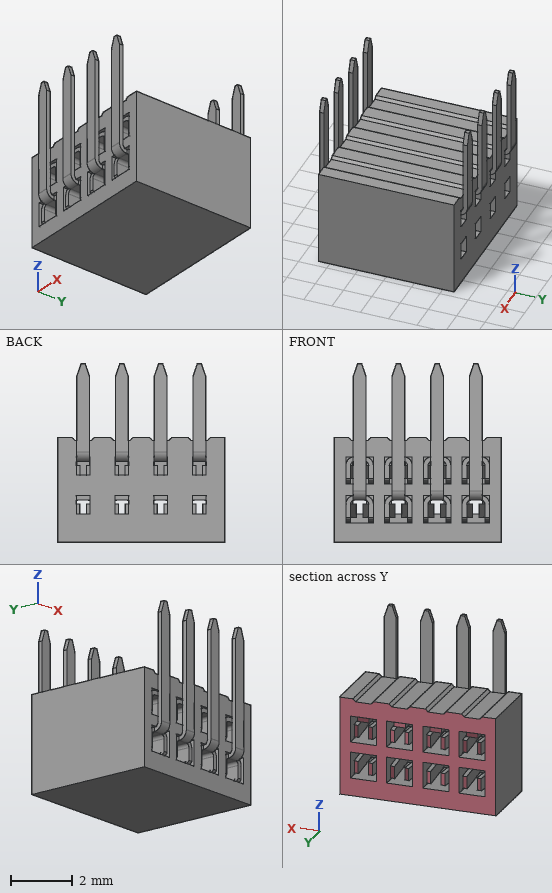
import cadquery as cq
import math

HOUSING_WIDTH = 5.48
HOUSING_DEPTH = 4.795
HOUSING_HEIGHT = 3.435
FRONT_Y = -HOUSING_DEPTH / 2
BACK_Y = HOUSING_DEPTH / 2

COLUMNS = 4
PITCH = 1.27
CAVITY_SIZE = 0.895
BACK_WALL = 0.29
COLUMN_X = [(column - (COLUMNS - 1) / 2) * PITCH for column in range(COLUMNS)]
LOWER_TOP_Z = (HOUSING_HEIGHT - PITCH + CAVITY_SIZE) / 2
UPPER_TOP_Z = LOWER_TOP_Z + PITCH

OPENING_WIDTH = 0.445
OPENING_HEIGHT = 0.595

GROOVE_TOP_WIDTH = 0.725
GROOVE_BOTTOM_WIDTH = 0.54
GROOVE_DEPTH = 0.095

THICKNESS = 0.15
TAIL_WIDTH = 0.42
TIP_WIDTH = 0.14
TIP_LENGTH = 0.41
TAIL_TOP_Z = 5.85
TAIL_REACH = 0.215
TAIL_BEND_RADIUS = 0.31
BEND_SETBACK = TAIL_BEND_RADIUS - TAIL_REACH

CHANNEL_LENGTH = 0.82
CHANNEL_BEND_RADIUS = 0.275
INNER_BEND_RADIUS = CHANNEL_BEND_RADIUS - THICKNESS
CHANNEL_START_Y = FRONT_Y + BEND_SETBACK
CHANNEL_END_Y = CHANNEL_START_Y + CHANNEL_LENGTH
ARM_BOTTOM = 0.715

FIRST_BARB_LENGTH = 0.15
FIRST_BARB_DROP = 0.08
SECOND_BARB_LENGTH = 0.305
SECOND_BARB_DROP = 0.14
SECOND_BARB_BACK = 0.29

ARM_LENGTH = 2.34
ARM_GAP = 0.21

DIAGONAL = math.sqrt(0.5)


def block(x_range, y_range, z_range):
    """Box between two limits along each axis."""
    size = [high - low for low, high in (x_range, y_range, z_range)]
    corner = (x_range[0], y_range[0], z_range[0])
    return cq.Workplane("XY").box(*size, centered=False).translate(corner)


def groove(x):
    """Cutter for one groove along the housing top."""
    half_top = GROOVE_TOP_WIDTH / 2
    half_bottom = GROOVE_BOTTOM_WIDTH / 2
    floor_z = HOUSING_HEIGHT - GROOVE_DEPTH
    return (
        cq.Workplane("XZ", origin=(x, BACK_Y, 0))
        .moveTo(-half_top, HOUSING_HEIGHT)
        .lineTo(-half_bottom, floor_z)
        .lineTo(half_bottom, floor_z)
        .lineTo(half_top, HOUSING_HEIGHT)
        .close()
        .extrude(HOUSING_DEPTH)
    )


def cavity(x, top_z):
    """Cutter for one cavity, open at the front, and its opening in the back wall."""
    half_size = CAVITY_SIZE / 2
    half_opening = OPENING_WIDTH / 2
    pocket = block(
        (x - half_size, x + half_size), (FRONT_Y, BACK_Y - BACK_WALL), (top_z - CAVITY_SIZE, top_z)
    )
    opening = block(
        (x - half_opening, x + half_opening), (FRONT_Y, BACK_Y), (top_z - OPENING_HEIGHT, top_z)
    )
    return pocket.union(opening)


def channel():
    """U-shaped contact base around X = 0, with its top face at Z = 0."""
    half_width = CAVITY_SIZE / 2
    outer = (
        cq.Workplane("XY", origin=(0, CHANNEL_START_Y, -ARM_BOTTOM))
        .box(CAVITY_SIZE, CHANNEL_LENGTH, ARM_BOTTOM, centered=(True, False, False))
        .edges("|Y and >Z")
        .fillet(CHANNEL_BEND_RADIUS)
    )
    inner = (
        cq.Workplane("XY", origin=(0, CHANNEL_START_Y, -ARM_BOTTOM))
        .box(2 * (half_width - THICKNESS), CHANNEL_LENGTH, ARM_BOTTOM - THICKNESS,
             centered=(True, False, False))
        .edges("|Y and >Z")
        .fillet(INNER_BEND_RADIUS)
    )
    return outer.cut(inner)


def barb(left_x, start_y, length, drop, back):
    """Rounded barb under a channel side: an arc at the front and a straight back."""
    return (
        cq.Workplane("YZ", origin=(left_x, start_y, -ARM_BOTTOM))
        .threePointArc((length * (1 - DIAGONAL), -drop * DIAGONAL), (length, -drop))
        .lineTo(length + back, 0)
        .close()
        .extrude(THICKNESS)
    )


def arm():
    """Spring arm behind the left channel side, leaning toward the middle."""
    outer_x = -CAVITY_SIZE / 2
    tip_x = -ARM_GAP / 2
    tip_y = CHANNEL_END_Y + ARM_LENGTH
    return (
        cq.Workplane("XY", origin=(0, 0, -ARM_BOTTOM))
        .moveTo(outer_x, CHANNEL_END_Y)
        .lineTo(outer_x + THICKNESS, CHANNEL_END_Y)
        .lineTo(tip_x, tip_y)
        .lineTo(tip_x - THICKNESS, tip_y)
        .close()
        .extrude(ARM_BOTTOM - CHANNEL_BEND_RADIUS)
    )


def contact_body():
    """Channel with two barbs and one spring arm on each side."""
    left_x = -CAVITY_SIZE / 2
    second_start_y = CHANNEL_START_Y + FIRST_BARB_LENGTH
    second_barb = barb(left_x, second_start_y, SECOND_BARB_LENGTH, SECOND_BARB_DROP, SECOND_BARB_BACK)
    left_parts = (
        barb(left_x, CHANNEL_START_Y, FIRST_BARB_LENGTH, FIRST_BARB_DROP, 0)
        .union(second_barb)
        .union(arm())
    )
    return channel().union(left_parts).union(left_parts.mirror("YZ"))


def tail(top_z, inner_end_y):
    """Flat strip that leaves the front, bends up and ends in a tapered tip."""
    outer_y = FRONT_Y - TAIL_REACH
    inner_y = outer_y + THICKNESS
    bend_y = CHANNEL_START_Y
    inner_radius = TAIL_BEND_RADIUS - THICKNESS
    bend_z = inner_radius
    tip_z = TAIL_TOP_Z - top_z
    strip = (
        cq.Workplane("YZ", origin=(-TAIL_WIDTH / 2, 0, 0))
        .moveTo(inner_end_y, -THICKNESS)
        .lineTo(bend_y, -THICKNESS)
        .threePointArc(
            (bend_y - TAIL_BEND_RADIUS * DIAGONAL, bend_z - TAIL_BEND_RADIUS * DIAGONAL),
            (outer_y, bend_z),
        )
        .lineTo(outer_y, tip_z)
        .lineTo(inner_y, tip_z)
        .lineTo(inner_y, bend_z)
        .threePointArc(
            (bend_y - inner_radius * DIAGONAL, bend_z - inner_radius * DIAGONAL),
            (bend_y, 0),
        )
        .lineTo(inner_end_y, 0)
        .close()
        .extrude(TAIL_WIDTH)
    )

    half_width = TAIL_WIDTH / 2
    half_tip = TIP_WIDTH / 2
    shoulder_z = tip_z - TIP_LENGTH
    outline = (
        cq.Workplane("XZ", origin=(0, BACK_Y, 0))
        .moveTo(-half_width, -THICKNESS)
        .lineTo(half_width, -THICKNESS)
        .lineTo(half_width, shoulder_z)
        .lineTo(half_tip, tip_z)
        .lineTo(-half_tip, tip_z)
        .lineTo(-half_width, shoulder_z)
        .close()
        .extrude(2 * HOUSING_DEPTH)
    )
    return strip.intersect(outline)


def lower_contact(x):
    """Contact in the lower row, with its tail at the front."""
    contact = contact_body().union(tail(LOWER_TOP_Z, CHANNEL_END_Y))
    return contact.translate((x, 0, LOWER_TOP_Z))


def upper_contact(x):
    """Contact in the upper row, with its tail running back through the rear wall."""
    rear_tail = tail(UPPER_TOP_Z, -CHANNEL_START_Y).mirror("XZ")
    return contact_body().union(rear_tail).translate((x, 0, UPPER_TOP_Z))


contacts = []
for column_x in COLUMN_X:
    contacts.append(lower_contact(column_x))
    contacts.append(upper_contact(column_x))

housing = block(
    (-HOUSING_WIDTH / 2, HOUSING_WIDTH / 2), (FRONT_Y, BACK_Y), (0, HOUSING_HEIGHT)
)
for column_x in COLUMN_X:
    housing = housing.cut(groove(column_x))
    housing = housing.cut(cavity(column_x, LOWER_TOP_Z))
    housing = housing.cut(cavity(column_x, UPPER_TOP_Z))

for contact in contacts:
    housing = housing.cut(contact)

result = cq.Compound.makeCompound([housing.val(), *[contact.val() for contact in contacts]])